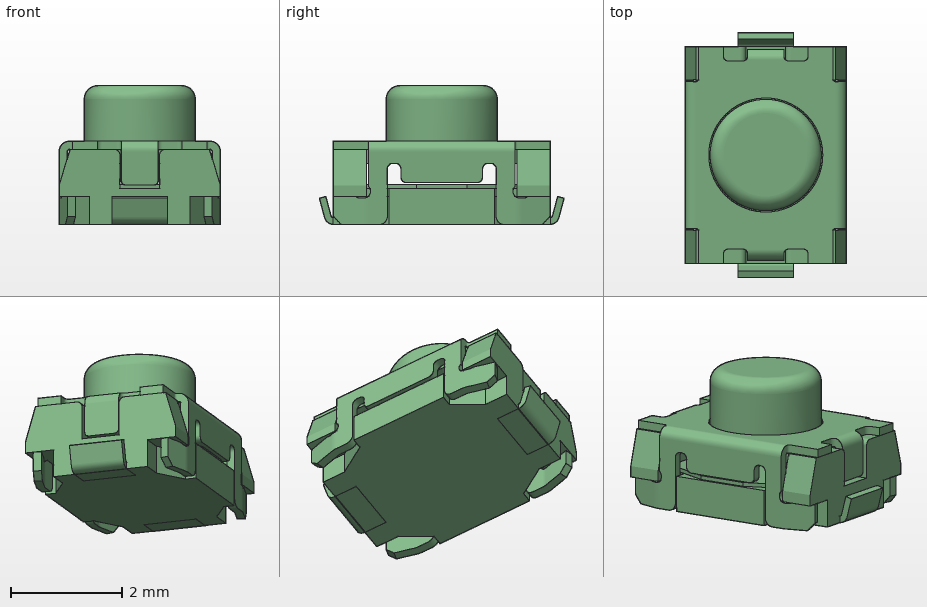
import cadquery as cq
import math


width = 2.9
length = 3.9
half_width = width / 2
half_length = length / 2
total_height = 2.5

sheet = 0.15
cover_top = 1.5
cover_under = cover_top - sheet
bend_outer = 0.19
bend_inner = bend_outer - sheet
flap_half_length = 1.32
relief_fillet = 0.05
plate_half_width = 1.205
window_half_length = 0.975
window_top = 1.1
tongue_half_length = 0.735
tongue_bottom = 0.752
window_fillet = 0.1
leg_fillet = 0.15

foot_height = 0.5
foot_angle = math.radians(15)
foot_bend_outer = 0.45
foot_chamfer = 0.15
relief_radius = 0.125
relief_height = 0.6
relief_start = 1.405
relief_stretch = 0.06

notch_half_width = 0.76
notch_fillet = 0.09
notch_edge = 1.69
tab_bend_start = 1.705
tab_half_width = 0.325
tab_bottom = 0.71
tab_root_radius = 0.09
tab_corner_fillet = 0.075

floor_top = 0.65
block_inner = 1.35
slope_bottom = 0.7
block_top_half_width = 1.255
floor_half_width = 1.25
pad_half_length = 0.95
slot_half_width = 0.355
slot_round = 0.1
corner_cut_half_width = 0.9
corner_cut_knee = 1.5

film_thickness = 0.07
film_half_width = 1.4
film_flat_half_length = 0.455
film_angle = math.radians(22)

button_diameter = 2.0
button_fillet = 0.25
button_hole_diameter = 2.05
flange_half_width = floor_half_width
flange_bottom = 1.095
plunger_diameter = 0.8
plunger_bottom = 0.82

terminal_half_width = 0.5
terminal_thickness = 0.125
terminal_bend_outer = 0.175
terminal_angle = math.radians(15)
terminal_reach = 2.2
terminal_tip_height = 0.475
terminal_inner_end = 1.5

pick_margin = 0.045


def block(x_half, y_half, z_low, z_high):
    """Box centred on the Z axis, given by its half sizes and its two heights."""
    return cq.Workplane("XY").workplane(offset=z_low).rect(2 * x_half, 2 * y_half).extrude(z_high - z_low)


def corner_region(x_half, y_half, z_low, z_high):
    """Selector of the edges inside a box centred on the Z axis, or on its surface."""
    x_reach = x_half + pick_margin
    y_reach = y_half + pick_margin
    return cq.selectors.BoxSelector(
        (-x_reach, -y_reach, z_low - pick_margin), (x_reach, y_reach, z_high + pick_margin)
    )


def both_ends(shape):
    """The shape together with its mirror image at the other Y end."""
    return shape.union(shape.mirror("XZ"))


def four_corners(shape):
    """The shape at all four corners of the part."""
    ends = both_ends(shape)
    return ends.union(ends.mirror("YZ"))


def make_button():
    """Round cap on a flange held under the cover, with a plunger above the film."""
    cap = cq.Workplane("XY").workplane(offset=cover_under).circle(button_diameter / 2)
    cap = cap.extrude(total_height - cover_under).faces(">Z").edges().fillet(button_fillet)
    flange = block(flange_half_width, block_inner, flange_bottom, cover_under)
    plunger = cq.Workplane("XY").workplane(offset=plunger_bottom).circle(plunger_diameter / 2)
    plunger = plunger.extrude(flange_bottom - plunger_bottom)
    return cap.union(flange).union(plunger)


def make_film():
    """Flat contact film on the housing floor, tapering towards both ends."""
    end_half_width = film_half_width - (block_inner - film_flat_half_length) * math.tan(film_angle)
    corner = [(film_half_width, film_flat_half_length), (end_half_width, block_inner)]
    right_side = [(x, -y) for x, y in reversed(corner)] + corner
    left_side = [(-x, -y) for x, y in right_side]
    film = cq.Workplane("XY").workplane(offset=floor_top).polyline(right_side + left_side).close()
    return film.extrude(film_thickness)


def make_channel():
    """Cover roof with its two side flaps, cut into a tongue between two legs."""
    channel = block(half_width, flap_half_length, 0, cover_top).faces(">Z").edges("|Y").fillet(bend_outer)
    core = block(half_width - sheet, flap_half_length, 0, cover_under)
    channel = channel.cut(core.faces(">Z").edges("|Y").fillet(bend_inner))

    window = block(half_width, window_half_length, 0, window_top)
    window = window.cut(block(half_width, tongue_half_length, tongue_bottom, window_top))
    channel = channel.cut(window)

    window_corners = corner_region(half_width, window_half_length, tongue_bottom, window_top)
    channel = channel.edges("|X").edges(window_corners).fillet(window_fillet)
    leg_corners = corner_region(half_width, window_half_length, 0, 0)
    return channel.edges("|X").edges(leg_corners).fillet(leg_fillet)


def make_end_plate():
    """Flat part of the cover at the +Y end, notched on both sides of the tab."""
    plate_length = half_length - flap_half_length
    middle = (half_length + flap_half_length) / 2
    plate = cq.Workplane("XY").workplane(offset=cover_under).center(0, middle)
    plate = plate.rect(2 * plate_half_width, plate_length).extrude(sheet)

    notch_depth = half_length - notch_edge
    notch = cq.Workplane("XY").workplane(offset=cover_under).center(0, notch_edge + notch_depth / 2)
    notch = notch.rect(2 * notch_half_width, notch_depth).extrude(sheet)
    plate = plate.cut(notch.edges("|Z and <Y").fillet(notch_fillet))

    for side in (-1, 1):
        web = cq.Workplane("XY").workplane(offset=cover_under)
        web = web.moveTo(side * plate_half_width, flap_half_length).hLine(side * relief_fillet)
        web = web.radiusArc((side * plate_half_width, flap_half_length + relief_fillet), side * relief_fillet)
        plate = plate.union(web.close().extrude(sheet))
    return plate


def make_tab():
    """Tab at the +Y end, bent down from the roof, with a fillet on each side of its root."""
    bend_z = cover_top - bend_outer
    diagonal = math.sqrt(0.5)
    root_half_width = tab_half_width + tab_root_radius
    tab = (
        cq.Workplane("YZ", origin=(-root_half_width, 0, 0))
        .moveTo(notch_edge, cover_top)
        .lineTo(tab_bend_start, cover_top)
        .threePointArc(
            (tab_bend_start + bend_outer * diagonal, bend_z + bend_outer * diagonal),
            (tab_bend_start + bend_outer, bend_z),
        )
        .lineTo(tab_bend_start + bend_outer, tab_bottom)
        .lineTo(tab_bend_start + bend_inner, tab_bottom)
        .lineTo(tab_bend_start + bend_inner, bend_z)
        .threePointArc(
            (tab_bend_start + bend_inner * diagonal, bend_z + bend_inner * diagonal),
            (tab_bend_start, cover_under),
        )
        .lineTo(notch_edge, cover_under)
        .close()
        .extrude(2 * root_half_width)
    )
    root_end = notch_edge + tab_root_radius
    for side in (-1, 1):
        edge = side * tab_half_width
        trim = (
            cq.Workplane("XY")
            .moveTo(side * root_half_width, notch_edge)
            .radiusArc((edge, root_end), side * tab_root_radius)
            .lineTo(edge, half_length)
            .lineTo(side * root_half_width, half_length)
            .close()
            .extrude(cover_top)
        )
        tab = tab.cut(trim)
    return tab.faces("<Z").edges("|Y").fillet(tab_corner_fillet)


def make_foot():
    """Foot at the +X +Y corner: a bend, then a straight stretch leaning inwards."""
    bend_inner_radius = foot_bend_outer - sheet
    bend_x = half_width - foot_bend_outer

    def on_bend(radius, angle):
        return (bend_x + radius * math.cos(angle), flap_half_length + radius * math.sin(angle))

    outer_bend_end = on_bend(foot_bend_outer, foot_angle)
    run = half_length - outer_bend_end[1]
    outer_tip = (outer_bend_end[0] - run * math.tan(foot_angle), half_length)
    inner_tip = (outer_tip[0] - sheet * math.cos(foot_angle), outer_tip[1] - sheet * math.sin(foot_angle))
    foot = (
        cq.Workplane("XY")
        .moveTo(half_width, flap_half_length)
        .threePointArc(on_bend(foot_bend_outer, foot_angle / 2), outer_bend_end)
        .lineTo(*outer_tip)
        .lineTo(*inner_tip)
        .lineTo(*on_bend(bend_inner_radius, foot_angle))
        .threePointArc(on_bend(bend_inner_radius, foot_angle / 2), on_bend(bend_inner_radius, 0))
        .close()
        .extrude(foot_height)
    )
    return foot.faces("<Z").edges(">Y").chamfer(foot_chamfer)


def make_corner_relief():
    """Rounded slot through both flaps at the +Y end, above the root of the feet."""
    slot = cq.Workplane("YZ", origin=(-half_width, 0, 0))
    slot = slot.center(relief_start + relief_stretch / 2, relief_height)
    return slot.slot2D(relief_stretch + 2 * relief_radius, 2 * relief_radius).extrude(width)


def make_cover():
    cover = make_channel()
    cover = cover.union(both_ends(make_end_plate()))
    cover = cover.union(both_ends(make_tab()))
    cover = cover.union(four_corners(make_foot()))
    cover = cover.cut(both_ends(make_corner_relief()))
    hole = cq.Workplane("XY").workplane(offset=cover_under).circle(button_hole_diameter / 2)
    return cover.cut(hole.extrude(sheet))


def make_end_block():
    """Housing block at the +Y end, with sloping shoulders and the slot for the cover tab."""
    outline = [
        (half_width, 0),
        (half_width, slope_bottom),
        (block_top_half_width, cover_under),
        (-block_top_half_width, cover_under),
        (-half_width, slope_bottom),
        (-half_width, 0),
    ]
    end_block = cq.Workplane("XZ", origin=(0, half_length, 0)).polyline(outline).close()
    end_block = end_block.extrude(half_length - block_inner)
    slot = cq.Workplane("XY").workplane(offset=floor_top).center(0, (half_length + block_inner) / 2)
    slot = slot.rect(2 * slot_half_width, half_length - block_inner).extrude(cover_under - floor_top)
    end_block = end_block.cut(slot)
    slot_mouth = corner_region(slot_half_width, half_length, cover_under, cover_under)
    return end_block.edges("|Y").edges(slot_mouth).fillet(slot_round)


def make_corner_cut():
    """Space around the foot at the +X +Y corner, below the housing shoulder."""
    outline = [
        (corner_cut_half_width, half_length),
        (corner_cut_half_width, corner_cut_knee),
        (floor_half_width, pad_half_length),
        (half_width, pad_half_length),
        (half_width, half_length),
    ]
    return cq.Workplane("XY").polyline(outline).close().extrude(foot_height)


def make_housing(terminals):
    housing = block(floor_half_width, block_inner, 0, floor_top)
    housing = housing.union(block(half_width, pad_half_length, 0, floor_top))
    housing = housing.union(both_ends(make_end_block()))
    housing = housing.cut(four_corners(make_corner_cut()))
    for terminal in terminals:
        housing = housing.cut(terminal)
    return housing


def make_terminal():
    """Terminal at the +Y end: a flat tail in the housing, then a bend and a steep outer blade."""
    bend_sweep = math.pi / 2 - terminal_angle
    inner_radius = terminal_bend_outer - terminal_thickness
    blade_rise = terminal_tip_height - terminal_bend_outer * (1 - math.cos(bend_sweep))
    bend_end_y = terminal_reach - blade_rise * math.tan(terminal_angle)
    bend_y = bend_end_y - terminal_bend_outer * math.sin(bend_sweep)

    def on_bend(radius, angle):
        return (bend_y + radius * math.sin(angle), terminal_bend_outer - radius * math.cos(angle))

    outer_tip = (terminal_reach, terminal_tip_height)
    inner_tip = (
        outer_tip[0] - terminal_thickness * math.cos(terminal_angle),
        outer_tip[1] + terminal_thickness * math.sin(terminal_angle),
    )
    return (
        cq.Workplane("YZ", origin=(-terminal_half_width, 0, 0))
        .moveTo(terminal_inner_end, 0)
        .lineTo(bend_y, 0)
        .threePointArc(on_bend(terminal_bend_outer, bend_sweep / 2), on_bend(terminal_bend_outer, bend_sweep))
        .lineTo(*outer_tip)
        .lineTo(*inner_tip)
        .lineTo(*on_bend(inner_radius, bend_sweep))
        .threePointArc(on_bend(inner_radius, bend_sweep / 2), on_bend(inner_radius, 0))
        .lineTo(terminal_inner_end, terminal_thickness)
        .close()
        .extrude(2 * terminal_half_width)
    )


button = make_button()
film = make_film()
cover = make_cover()
terminals = []
for turn in (0, 180):
    terminals.append(make_terminal().rotate((0, 0, 0), (0, 0, 1), turn))
housing = make_housing(terminals)

bodies = [housing, cover, button, film, *terminals]
result = cq.Compound.makeCompound([body.solids().val() for body in bodies])